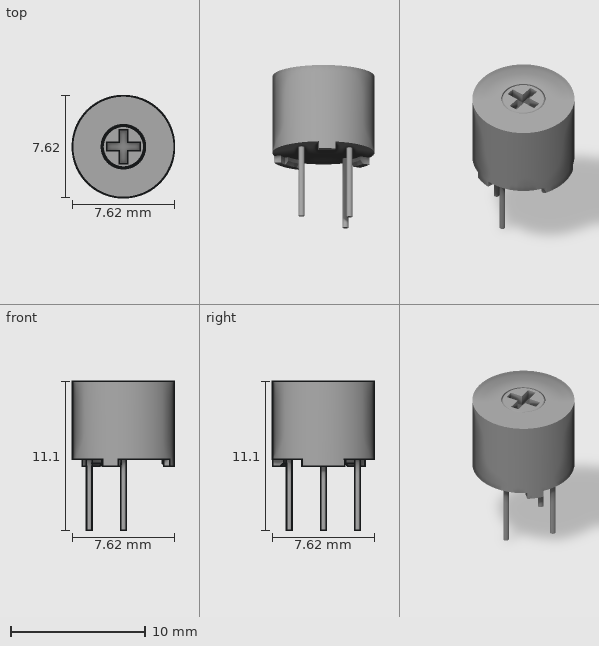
import cadquery as cq
import math

body_diameter = 7.62
body_radius = body_diameter / 2
seated_height = 6.37
foot_height = 0.53
body_height = seated_height - foot_height

foot_width = 1.25
foot_inner_radius = 2.98
foot_bevel = 0.25
foot_angles = (0, 134.5, 255)

rib_inner_radius = 3.3
rib_half_angle = 24.8

pin_diameter = 0.43
pin_pitch = 2.54
pin_length = 4.76
pin_places = ((0, -pin_pitch), (-pin_pitch, 0), (0, pin_pitch))

opening_diameter = 3.28
rotor_diameter = 3.23
rotor_bevel = 0.09
groove_depth = 0.25
slot_length = 2.52
slot_width = 0.64
slot_depth = 0.79


def make_body():
    return cq.Workplane("XY").workplane(offset=foot_height).circle(body_radius).extrude(body_height)


def make_foot_ring():
    """Full ring with the section of a foot: bevelled along its lower inner edge."""
    section = [
        (foot_inner_radius, foot_height),
        (body_radius, foot_height),
        (body_radius, 0),
        (foot_inner_radius + foot_bevel, 0),
        (foot_inner_radius, foot_bevel),
    ]
    return cq.Workplane("XZ").polyline(section).close().revolve(360, (0, 0, 0), (0, 1, 0))


def make_foot(angle):
    """Part of the foot ring between two faces parallel to the given direction."""
    strip = cq.Workplane("XY").box(body_radius, foot_width, foot_height, centered=(False, True, False))
    return make_foot_ring().intersect(strip.rotate((0, 0, 0), (0, 0, 1), angle))


def make_rib():
    """Ring sector with radial end faces, centred on the +X direction."""
    half_angle = math.radians(rib_half_angle)

    def rib_point(radius, angle):
        return (radius * math.cos(angle), radius * math.sin(angle))

    return (
        cq.Workplane("XY")
        .moveTo(*rib_point(rib_inner_radius, -half_angle))
        .lineTo(*rib_point(body_radius, -half_angle))
        .threePointArc((body_radius, 0), rib_point(body_radius, half_angle))
        .lineTo(*rib_point(rib_inner_radius, half_angle))
        .threePointArc((rib_inner_radius, 0), rib_point(rib_inner_radius, -half_angle))
        .close()
        .extrude(foot_height)
    )


def make_pins():
    """Pins running from the underside of the housing to below the feet."""
    return (
        cq.Workplane("XY")
        .workplane(offset=foot_height)
        .pushPoints(pin_places)
        .circle(pin_diameter / 2)
        .extrude(-(pin_length + foot_height))
    )


def make_rotor_groove():
    """Clearance around the rotor, widened at the top by the bevel of the rotor's rim."""
    rotor = (
        cq.Workplane("XY")
        .workplane(offset=seated_height)
        .circle(rotor_diameter / 2)
        .extrude(-groove_depth)
        .faces(">Z")
        .chamfer(rotor_bevel)
    )
    opening = (
        cq.Workplane("XY")
        .workplane(offset=seated_height)
        .circle(opening_diameter / 2)
        .extrude(-groove_depth)
    )
    return opening.cut(rotor)


def make_cross_slot():
    top = cq.Workplane("XY").workplane(offset=seated_height)
    slot_along_x = top.rect(slot_length, slot_width).extrude(-slot_depth)
    slot_along_y = top.rect(slot_width, slot_length).extrude(-slot_depth)
    return slot_along_x.union(slot_along_y)


housing = make_body().union(make_rib())
for foot_angle in foot_angles:
    housing = housing.union(make_foot(foot_angle))

result = housing.union(make_pins()).cut(make_rotor_groove()).cut(make_cross_slot())